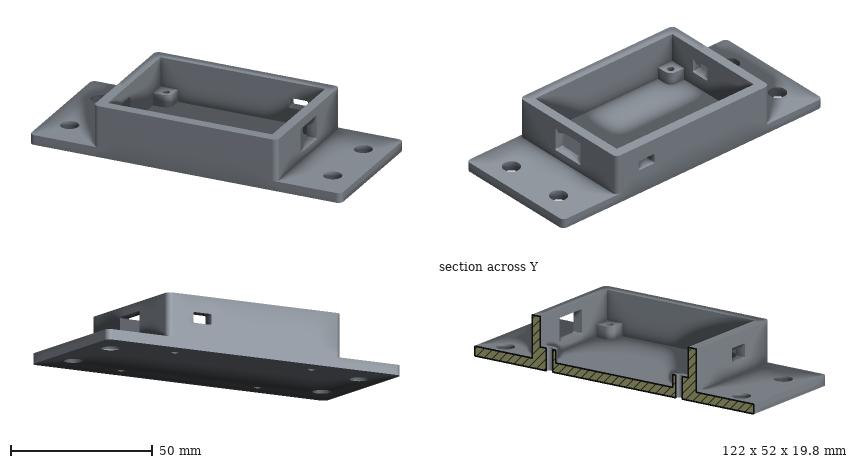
import cadquery as cq

plate_length = 122.0
plate_width = 52.0
plate_thickness = 3.8
total_height = 19.8
corner_radius = 2.0

box_length = 72.0
end_wall = 3.8
side_wall = 4.0
cavity_length = box_length - 2 * end_wall
cavity_width = plate_width - 2 * side_wall

mount_hole_diameter = 6.8
mount_spacing_x = 103.0
mount_spacing_y = 25.4

post_hole_diameter = 2.7
post_spacing_x = 56.6
post_spacing_y = 36.6
post_radius = 2.8
post_height = 4.8

window_radius = 0.6

left_window_width = 7.8
left_window_height = 5.6
left_window_y = -7.0
left_window_bottom = 9.2

right_window_width = 13.5
right_window_height = 9.3
right_window_y = 0.0
right_window_bottom = 7.1

back_window_width = 7.6
back_window_height = 3.9
back_window_x = 21.7
back_window_bottom = 9.8


def block(length, width, height, x=0.0, y=0.0, bottom=0.0):
    """Box centred on (x, y) and standing on the given level."""
    solid = cq.Workplane("XY").box(length, width, height, centered=(True, True, False))
    return solid.translate((x, y, bottom))


def drilled_pattern(spacing_x, spacing_y, diameter):
    """Four upright cylinders, as tall as the part, on a rectangular pattern."""
    return (
        cq.Workplane("XY")
        .rect(spacing_x, spacing_y, forConstruction=True)
        .vertices()
        .circle(diameter / 2)
        .extrude(total_height)
    )


def screw_post(side_x, side_y):
    """Post filling one cavity corner, rounded about its screw hole."""
    inner_x = post_spacing_x / 2 - post_radius
    inner_y = post_spacing_y / 2 - post_radius
    length = cavity_length / 2 - inner_x
    width = cavity_width / 2 - inner_y
    x = side_x * (inner_x + length / 2)
    y = side_y * (inner_y + width / 2)
    inner_side_x = "<X" if side_x > 0 else ">X"
    inner_side_y = "<Y" if side_y > 0 else ">Y"
    post = block(length, width, post_height, x, y, plate_thickness)
    return post.edges(f"|Z and ({inner_side_x}) and ({inner_side_y})").fillet(post_radius)


plate = block(plate_length, plate_width, plate_thickness).edges("|Z").fillet(corner_radius)
box = block(box_length, plate_width, total_height).edges("|Z").fillet(corner_radius)
cavity = block(cavity_length, cavity_width, total_height - plate_thickness, bottom=plate_thickness)
body = plate.union(box).cut(cavity)

for side_x in (-1, 1):
    for side_y in (-1, 1):
        body = body.union(screw_post(side_x, side_y))

body = body.cut(drilled_pattern(mount_spacing_x, mount_spacing_y, mount_hole_diameter))
body = body.cut(drilled_pattern(post_spacing_x, post_spacing_y, post_hole_diameter))

end_wall_x = (box_length - end_wall) / 2
back_wall_y = (plate_width - side_wall) / 2
left_window = block(
    end_wall, left_window_width, left_window_height, -end_wall_x, left_window_y, left_window_bottom
)
right_window = block(
    end_wall, right_window_width, right_window_height, end_wall_x, right_window_y, right_window_bottom
)
back_window = block(
    back_window_width, side_wall, back_window_height, back_window_x, back_wall_y, back_window_bottom
)
body = body.cut(left_window.edges("|X").fillet(window_radius))
body = body.cut(right_window.edges("|X").fillet(window_radius))
body = body.cut(back_window.edges("|Y").fillet(window_radius))

result = body